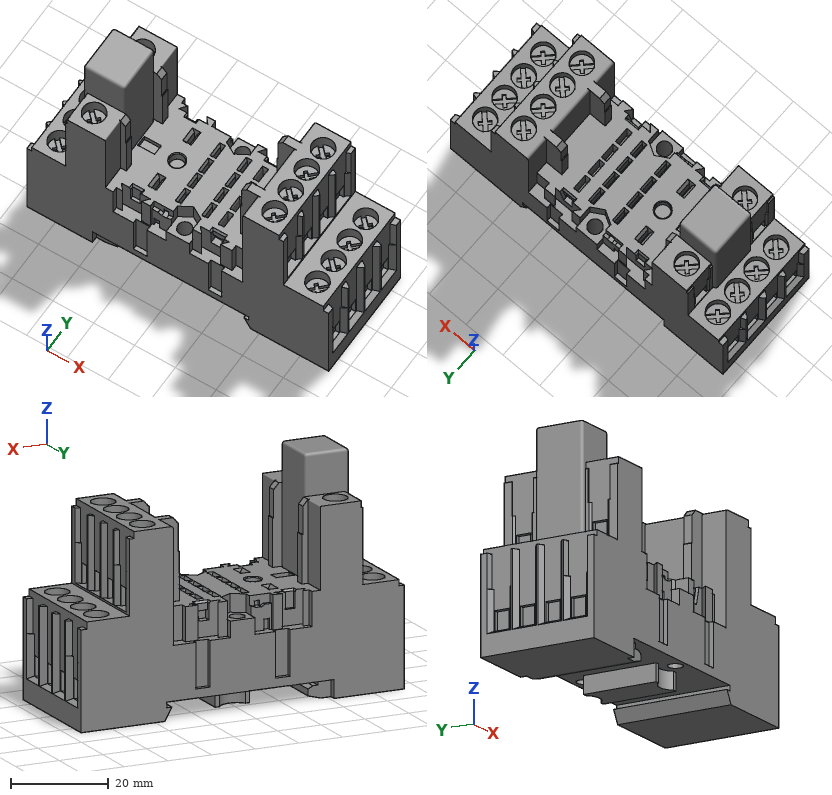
import cadquery as cq
LENGTH = 74.0
WIDTH = 27.2
HEIGHT = 50.6
HALF_LENGTH = LENGTH / 2
HALF_WIDTH = WIDTH / 2

RAIL_Z = 4.1
LEDGE_Z = 16.05
LUG_Z = 19.6
DECK_Z = 23.6
TOWER_Z = 41.6

LEFT_RECESS_X = -20.95
RIGHT_RECESS_X = 17.4
LEFT_TOWER_X = (-27.5, -17.75)
RIGHT_TOWER_X = (15.8, 25.9)
MODULE_X = (-28.3, -18.2)
LUG_X = 0.0

TERMINAL_Y = (9.2, 3.0, -3.0, -9.2)
OUTER_TERMINAL_Y = (9.2, -9.2)
SCREW_HOLE_DIA = 5.25
SCREW_HEAD_DEPTH = 2.8
DRIVE_DEPTH = 0.9
DRIVE_SLOT_WIDTH = 1.0
DRIVE_BAR_WIDTH = 0.8
DRIVE_BAR_LENGTH = 2.8


def box(x_range, y_range, z_range):
    """Axis-aligned block between pairs of coordinates."""
    size = [abs(r[1] - r[0]) for r in (x_range, y_range, z_range)]
    low = [min(r) for r in (x_range, y_range, z_range)]
    return cq.Workplane("XY").box(*size, centered=False).translate(tuple(low))


def prism_y(points, y_range):
    """XZ outline extruded between two Y positions."""
    length = y_range[1] - y_range[0]
    return cq.Workplane("XZ", origin=(0, y_range[1], 0)).polyline(points).close().extrude(length)


def prism_z(points, z_range):
    """XY outline extruded between two heights."""
    plane = cq.Workplane("XY", origin=(0, 0, z_range[0]))
    return plane.polyline(points).close().extrude(z_range[1] - z_range[0])


def both_sides(shape):
    """The shape together with its mirror image across the XZ plane."""
    return shape.union(shape.mirror("XZ"))


FULL_WIDTH = (-HALF_WIDTH, HALF_WIDTH)
CLIP_HALF_WIDTH = 12.1
HOOK_Z = 2.9


def make_body():
    outline = [
        (-HALF_LENGTH, 0), (LEFT_RECESS_X, 0), (LEFT_RECESS_X, RAIL_Z),
        (RIGHT_RECESS_X, RAIL_Z), (RIGHT_RECESS_X, HOOK_Z), (16.2, HOOK_Z), (17.8, 0),
        (HALF_LENGTH, 0), (HALF_LENGTH, DECK_Z), (-HALF_LENGTH, DECK_Z),
    ]
    clip = [
        (LEFT_RECESS_X, 0), (-18.6, 0), (-15.7, 0.8), (-15.7, 2.3), (-16.8, HOOK_Z),
        (-17.9, HOOK_Z), (-17.9, RAIL_Z), (LEFT_RECESS_X, RAIL_Z),
    ]
    return prism_y(outline, FULL_WIDTH).union(prism_y(clip, (-CLIP_HALF_WIDTH, CLIP_HALF_WIDTH)))


LEFT_TOWER_INNER_Y = 5.85
LEFT_TOWER_FILLET = 0.3
RIGHT_TOWER_FILLET = 0.7
FIN_Y = (-7.85, -5.85)
LEFT_FIN_TIP_X = -16.35
RIGHT_FIN_TIP_X = 11.7
RIGHT_FIN_SHOULDER_X = 13.2
FIN_BEND_Z = 34.2
FIN_SHOULDER_Z = 40.25
FIN_TIP_RELIEF = 0.2


def make_left_towers():
    tower = box(LEFT_TOWER_X, (-HALF_WIDTH, -LEFT_TOWER_INNER_Y), (DECK_Z, TOWER_Z))
    tower = tower.edges(">X and >Z").fillet(LEFT_TOWER_FILLET)
    root_x = LEFT_TOWER_X[1] - LEFT_TOWER_FILLET
    tip_x = LEFT_FIN_TIP_X
    upper_tip_x = tip_x - FIN_TIP_RELIEF
    fin = prism_y([
        (root_x, DECK_Z), (tip_x, DECK_Z), (tip_x, FIN_BEND_Z), (upper_tip_x, FIN_BEND_Z),
        (upper_tip_x, FIN_SHOULDER_Z), (LEFT_TOWER_X[1], TOWER_Z), (root_x, TOWER_Z),
    ], FIN_Y)
    return both_sides(tower.union(fin))


def make_right_tower():
    tower = box(RIGHT_TOWER_X, FULL_WIDTH, (DECK_Z, TOWER_Z))
    tower = tower.edges("<X and >Z").fillet(RIGHT_TOWER_FILLET)
    root_x = RIGHT_TOWER_X[0] + RIGHT_TOWER_FILLET
    tip_x = RIGHT_FIN_TIP_X
    upper_tip_x = tip_x + FIN_TIP_RELIEF
    fin = prism_y([
        (root_x, DECK_Z), (tip_x, DECK_Z), (tip_x, FIN_BEND_Z), (upper_tip_x, FIN_BEND_Z),
        (upper_tip_x, FIN_SHOULDER_Z), (RIGHT_FIN_SHOULDER_X, TOWER_Z), (root_x, TOWER_Z),
    ], FIN_Y)
    return tower.union(both_sides(fin))


MODULE_HALF_WIDTH = 5.7
MODULE_FILLET = 0.7


def make_module():
    module = box(MODULE_X, (-MODULE_HALF_WIDTH, MODULE_HALF_WIDTH), (DECK_Z, HEIGHT))
    return module.edges("|Z or >Z").fillet(MODULE_FILLET)


SLOT_MOUTH = 5.7
SLOT_BACK = 3.9
SLOT_BACK_WIDE = 4.9
ENTRY_WIDTH = 3.4
ENTRY_HEIGHT = 4.45
ENTRY_DEPTH = 1.0


def tapered_slot(face_x, back_x, y, mouth, back, mouth_z, back_z):
    """Slot sunk from face_x to back_x; mouth and back are its widths at the two planes."""
    def section(x, width, z_range):
        height = z_range[1] - z_range[0]
        plane = cq.Workplane("YZ", origin=(x, y, sum(z_range) / 2))
        return plane.rect(width, height).wires().val()

    solid = cq.Solid.makeLoft([section(face_x, mouth, mouth_z), section(back_x, back, back_z)], True)
    return cq.Workplane(solid)


def wire_entry(back_x, y, floor_z):
    """Shallow rectangular terminal opening in the back of a slot."""
    depth = ENTRY_DEPTH if back_x < 0 else -ENTRY_DEPTH
    y_range = (y - ENTRY_WIDTH / 2, y + ENTRY_WIDTH / 2)
    return box((back_x, back_x + depth), y_range, (floor_z, floor_z + ENTRY_HEIGHT))


def four_slots(face_x, back_x, mouth_floor_z, back_floor_z, bend_z, rib_z, top_z):
    """Step below the top edge and four slots; the outermost slots widen above bend_z."""
    cut = box((face_x, back_x), FULL_WIDTH, (rib_z, top_z))
    for y in TERMINAL_Y:
        cut = cut.union(tapered_slot(
            face_x, back_x, y, SLOT_MOUTH, SLOT_BACK, (mouth_floor_z, rib_z), (back_floor_z, rib_z)))
        cut = cut.union(wire_entry(back_x, y, back_floor_z))
    for y in OUTER_TERMINAL_Y:
        upper = (bend_z, rib_z)
        cut = cut.union(tapered_slot(face_x, back_x, y, SLOT_MOUTH, SLOT_BACK_WIDE, upper, upper))
    return cut


LEFT_END_BACK_X = -35.8
LEFT_RIB_Z = 22.3
RIGHT_END_BACK_X = 35.7
RIGHT_RIB_Z = 22.05
LOWER_SLOT_Z = dict(mouth_floor_z=4.9, back_floor_z=5.55, bend_z=14.6, top_z=DECK_Z)
UPPER_FLOOR_Z = 24.05
UPPER_BEND_Z = 32.7
UPPER_RIB_Z = 40.1
LEFT_TOWER_BACK_X = -27.15
RIGHT_TOWER_BACK_X = 24.9
LEFT_TOWER_SLOT = 4.8
LEFT_TOWER_SLOT_WIDE = 5.25


def left_tower_slots():
    face_x = LEFT_TOWER_X[0]
    back_x = LEFT_TOWER_BACK_X
    cut = box((face_x, back_x), FULL_WIDTH, (UPPER_RIB_Z, TOWER_Z))
    lower = (UPPER_FLOOR_Z, UPPER_BEND_Z)
    upper = (UPPER_BEND_Z, UPPER_RIB_Z)
    for y in OUTER_TERMINAL_Y:
        cut = cut.union(tapered_slot(face_x, back_x, y, LEFT_TOWER_SLOT, SLOT_BACK, lower, lower))
        cut = cut.union(tapered_slot(
            face_x, back_x, y, LEFT_TOWER_SLOT_WIDE, LEFT_TOWER_SLOT_WIDE, upper, upper))
        cut = cut.union(wire_entry(back_x, y, UPPER_FLOOR_Z))
    return cut


def end_slots():
    left = four_slots(-HALF_LENGTH, LEFT_END_BACK_X, rib_z=LEFT_RIB_Z, **LOWER_SLOT_Z)
    right = four_slots(HALF_LENGTH, RIGHT_END_BACK_X, rib_z=RIGHT_RIB_Z, **LOWER_SLOT_Z)
    right_tower = four_slots(
        RIGHT_TOWER_X[1], RIGHT_TOWER_BACK_X,
        UPPER_FLOOR_Z, UPPER_FLOOR_Z, UPPER_BEND_Z, UPPER_RIB_Z, TOWER_Z)
    return left.union(right).union(right_tower).union(left_tower_slots())


RISING = 45
FALLING = -45
SCREW_ROWS = (
    (-31.8, DECK_Z, TERMINAL_Y, RISING),
    (-23.4, TOWER_Z, OUTER_TERMINAL_Y, RISING),
    (20.9, TOWER_Z, TERMINAL_Y, FALLING),
    (31.4, DECK_Z, TERMINAL_Y, FALLING),
)


def terminal_screw(x, y, top_z, angle):
    """Access hole ending on a screw head that carries a slot and a shorter cross bar."""
    head_z = top_z - SCREW_HEAD_DEPTH
    hole = cq.Workplane("XY", origin=(0, 0, head_z)).circle(SCREW_HOLE_DIA / 2).extrude(SCREW_HEAD_DEPTH)
    floor = cq.Workplane("XY", origin=(0, 0, head_z - DRIVE_DEPTH))
    slot = floor.rect(SCREW_HOLE_DIA, DRIVE_SLOT_WIDTH).extrude(DRIVE_DEPTH)
    rim = floor.circle(SCREW_HOLE_DIA / 2).extrude(DRIVE_DEPTH)
    bar = floor.rect(DRIVE_BAR_WIDTH, DRIVE_BAR_LENGTH).extrude(DRIVE_DEPTH)
    drive = slot.intersect(rim).union(bar).rotate((0, 0, 0), (0, 0, 1), angle)
    return hole.union(drive).translate((x, y, 0))


LUG_Y = -10.95
LUG_WIDTH = 5.7
FIXING_HOLE_DIA = 3.3
BOSS_WIDTH = 7.9
BOSS_HALF_LENGTH = 8.7
BOSS_GROOVE_DIA = 7.4


def lug_cut():
    """Hexagonal pocket open to the side, with a through hole for the fixing screw."""
    corner_radius = LUG_WIDTH / 3 ** 0.5
    left = LUG_X - LUG_WIDTH / 2
    right = LUG_X + LUG_WIDTH / 2
    shoulder_y = LUG_Y + corner_radius / 2
    pocket = prism_z([
        (left, -HALF_WIDTH), (right, -HALF_WIDTH), (right, shoulder_y),
        (LUG_X, LUG_Y + corner_radius), (left, shoulder_y),
    ], (LUG_Z, DECK_Z))
    hole = cq.Workplane("XY", origin=(LUG_X, LUG_Y, 0)).circle(FIXING_HOLE_DIA / 2).extrude(DECK_Z)
    return both_sides(pocket.union(hole))


def make_boss():
    """Block under the body, hollowed at both ends around the fixing screws."""
    boss = box((LUG_X - BOSS_WIDTH / 2, LUG_X + BOSS_WIDTH / 2),
               (-BOSS_HALF_LENGTH, BOSS_HALF_LENGTH), (0, RAIL_Z))
    groove = cq.Workplane("XY", origin=(LUG_X, LUG_Y, 0)).circle(BOSS_GROOVE_DIA / 2).extrude(RAIL_Z)
    return boss.cut(both_sides(groove))


RECESS_X = 15.8
WALL_Y = -12.35
DOVETAIL_Y = -10.9
LEFT_DOVETAIL_X = (-14.35, -9.7)
RIGHT_DOVETAIL_X = (5.0, 9.6)
DOVETAIL_FLARE = 1.2
NOTCH_X = 12.5
CATCH_X = -7.55
CATCH_Y = -11.7
GROOVE_DEPTH = 1.0
GROOVE_X = ((-10.9, -7.55), (7.5, 10.7))
GROOVE_Z = 6.1
WINDOW_BACK_Y = -10.15
WINDOW_LEAD = 0.45
SEAT_DEPTH = 0.9
DIP_Z = 21.2
DIP_X = (-5.2, -4.0)
DIP_START_X = -6.1
CATCH_HOLE_DEPTH = 0.75
CATCH_HOLE_TOP_Z = 22.35
FOOT_X = (-7.1, -5.8)
FOOT_TOP_Z = 18.4
FOOT_DEPTH = 0.75
CATCH_EDGE_Z = 21.6
WINDOW_LEAD_Z = 23.15


def dovetail(mouth_x):
    """Outline points of a dovetail, from the left to the right edge of its mouth."""
    left, right = mouth_x
    return [(left, WALL_Y), (left - DOVETAIL_FLARE, DOVETAIL_Y),
            (right + DOVETAIL_FLARE, DOVETAIL_Y), (right, WALL_Y)]


def ledge_cut():
    lug_left = LUG_X - LUG_WIDTH / 2
    lug_right = LUG_X + LUG_WIDTH / 2
    left = prism_z([
        (-RECESS_X, -HALF_WIDTH), (-RECESS_X, WALL_Y), *dovetail(LEFT_DOVETAIL_X),
        (CATCH_X, WALL_Y), (CATCH_X, CATCH_Y), (lug_left, CATCH_Y), (lug_left, -HALF_WIDTH),
    ], (LEDGE_Z, DECK_Z))
    right = prism_z([
        (lug_right, -HALF_WIDTH), (lug_right, WALL_Y), *dovetail(RIGHT_DOVETAIL_X),
        (NOTCH_X, WALL_Y), (NOTCH_X, DOVETAIL_Y), (RECESS_X, DOVETAIL_Y), (RECESS_X, -HALF_WIDTH),
    ], (LEDGE_Z, DECK_Z))
    return left.union(right)


def side_grooves():
    depth_range = (-HALF_WIDTH, -HALF_WIDTH + GROOVE_DEPTH)
    left, right = [box(x_range, depth_range, (GROOVE_Z, LEDGE_Z)) for x_range in GROOVE_X]
    return left.union(right)


def latch_window(floor_x, lead_x, mouth_x):
    """Pocket in a dovetail back, open to the deck through a chamfered mouth.

    The X ranges are those of the floor, of the foot of the chamfer and of the mouth.
    """
    pocket = prism_y([
        (floor_x[0], LUG_Z), (floor_x[1], LUG_Z), (lead_x[1], WINDOW_LEAD_Z), (lead_x[0], WINDOW_LEAD_Z),
    ], (DOVETAIL_Y, WINDOW_BACK_Y))
    mouth_y = WINDOW_BACK_Y + WINDOW_LEAD
    foot = [(lead_x[0], DOVETAIL_Y), (lead_x[1], DOVETAIL_Y),
            (lead_x[1], WINDOW_BACK_Y), (lead_x[0], WINDOW_BACK_Y)]
    rim = [(mouth_x[0], DOVETAIL_Y), (mouth_x[1], DOVETAIL_Y), (mouth_x[1], mouth_y), (mouth_x[0], mouth_y)]
    lead = (
        cq.Workplane("XY", origin=(0, 0, WINDOW_LEAD_Z)).polyline(foot).close()
        .workplane(offset=DECK_Z - WINDOW_LEAD_Z).polyline(rim).close().loft(ruled=True)
    )
    return pocket.union(lead)


def latch_windows():
    left_x = (-13.3, -11.1)
    left = latch_window(left_x, left_x, (-13.6, -10.65))
    right_x = (6.4, 8.6)
    right = latch_window(right_x, (right_x[0], 9.5), (6.0, 9.6))
    seat = box(right_x, (WINDOW_BACK_Y, WINDOW_BACK_Y + SEAT_DEPTH), (LUG_Z, CATCH_EDGE_Z))
    return left.union(right).union(seat)


def catch_cut():
    """Dipped top edge of the wall beside the lug, a small hole behind the dip and a foot pocket."""
    wall_end_x = LUG_X - LUG_WIDTH / 2
    notch = prism_y([
        (CATCH_X, CATCH_EDGE_Z), (DIP_START_X, CATCH_EDGE_Z), (DIP_X[0], DIP_Z), (DIP_X[1], DIP_Z),
        (wall_end_x, CATCH_EDGE_Z), (wall_end_x, DECK_Z), (CATCH_X, DECK_Z),
    ], (CATCH_Y, DOVETAIL_Y))
    hole = box(DIP_X, (DOVETAIL_Y, DOVETAIL_Y + CATCH_HOLE_DEPTH), (DIP_Z, CATCH_HOLE_TOP_Z))
    foot = box(FOOT_X, (CATCH_Y, CATCH_Y + FOOT_DEPTH), (LEDGE_Z, FOOT_TOP_Z))
    return notch.union(hole).union(foot)


def side_cut():
    return both_sides(ledge_cut().union(side_grooves()).union(latch_windows()).union(catch_cut()))


CONTACT_ROWS_Y = (6.6, 2.15, -2.15, -6.6)
CONTACT_LENGTH = 3.6
CONTACT_DEPTH = 4.45
CONTACT_LEAD_DEPTH = 0.9
CONTACT_END_LEAD = 0.2
NARROW_COLUMNS = ((-3.25, 1.4, 0.7), (3.25, 1.4, 0.7), (7.25, 1.4, 1.0))
WIDE_COLUMN = (-9.6, 2.1, 0.8)
PIN_HOLE_X = -8.95
PIN_HOLE_DIA = 3.9
PIN_HOLE_DEPTH = 2.2
PIN_HOLE_LEAD = 0.2
TAB_SLOT_X = (-17.8, -13.7)
TAB_SLOT_HALF_WIDTH = 1.25
TAB_SLOT_DEPTH = 1.1


def contact_slot(x, y, mouth, throat):
    """Contact opening whose mouth tapers down to a narrower throat."""
    throat_length = CONTACT_LENGTH - 2 * CONTACT_END_LEAD
    deep = cq.Workplane("XY", origin=(x, y, DECK_Z - CONTACT_DEPTH)).rect(throat, throat_length)
    lead = (
        cq.Workplane("XY", origin=(x, y, DECK_Z - CONTACT_LEAD_DEPTH)).rect(throat, throat_length)
        .workplane(offset=CONTACT_LEAD_DEPTH).rect(mouth, CONTACT_LENGTH).loft(ruled=True)
    )
    return deep.extrude(CONTACT_DEPTH - CONTACT_LEAD_DEPTH).union(lead)


def deck_openings():
    pin = cq.Workplane("XY", origin=(PIN_HOLE_X, 0, DECK_Z - PIN_HOLE_DEPTH))
    cut = pin.circle(PIN_HOLE_DIA / 2 - PIN_HOLE_LEAD).extrude(PIN_HOLE_DEPTH)
    cut = cut.union(
        cq.Workplane("XY", origin=(PIN_HOLE_X, 0, DECK_Z - PIN_HOLE_LEAD))
        .circle(PIN_HOLE_DIA / 2 - PIN_HOLE_LEAD).workplane(offset=PIN_HOLE_LEAD)
        .circle(PIN_HOLE_DIA / 2).loft())
    cut = cut.union(box(TAB_SLOT_X, (-TAB_SLOT_HALF_WIDTH, TAB_SLOT_HALF_WIDTH),
                        (DECK_Z - TAB_SLOT_DEPTH, DECK_Z)))
    for x, mouth, throat in NARROW_COLUMNS:
        for y in CONTACT_ROWS_Y:
            cut = cut.union(contact_slot(x, y, mouth, throat))
    for y in (CONTACT_ROWS_Y[0], CONTACT_ROWS_Y[-1]):
        cut = cut.union(contact_slot(WIDE_COLUMN[0], y, *WIDE_COLUMN[1:]))
    return cut


result = make_body().union(make_left_towers()).union(make_right_tower()).union(make_boss())
result = result.cut(end_slots()).cut(side_cut()).cut(lug_cut()).cut(deck_openings())
for row_x, row_z, row_y, drive_angle in SCREW_ROWS:
    for screw_y in row_y:
        result = result.cut(terminal_screw(row_x, screw_y, row_z, drive_angle))
        drive_angle = -drive_angle
result = result.union(make_module())